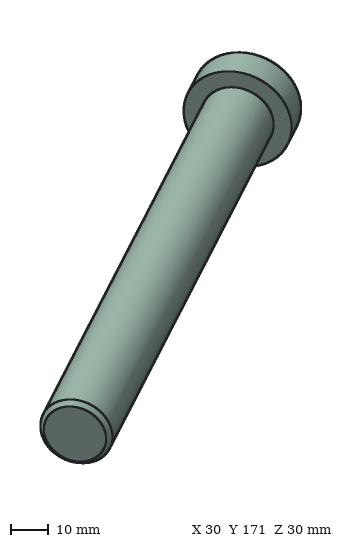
import cadquery as cq

total_length = 171.0
head_diameter = 30.0
head_length = 11.0
shank_diameter = 20.0
tip_chamfer = 1.4
head_fillet = 1.7

half_length = total_length / 2
shank_length = total_length - head_length


def cylinder_along_y(diameter, start_y, length):
    """Solid cylinder on the Y axis, growing towards +Y from start_y."""
    plane = cq.Plane(origin=(0, start_y, 0), xDir=(1, 0, 0), normal=(0, 1, 0))
    return cq.Workplane(plane).circle(diameter / 2).extrude(length)


shank = cylinder_along_y(shank_diameter, -half_length, shank_length)
shank = shank.faces("<Y").edges().chamfer(tip_chamfer)

head = cylinder_along_y(head_diameter, half_length - head_length, head_length)
head = head.faces(">Y").edges().fillet(head_fillet)

result = shank.union(head)